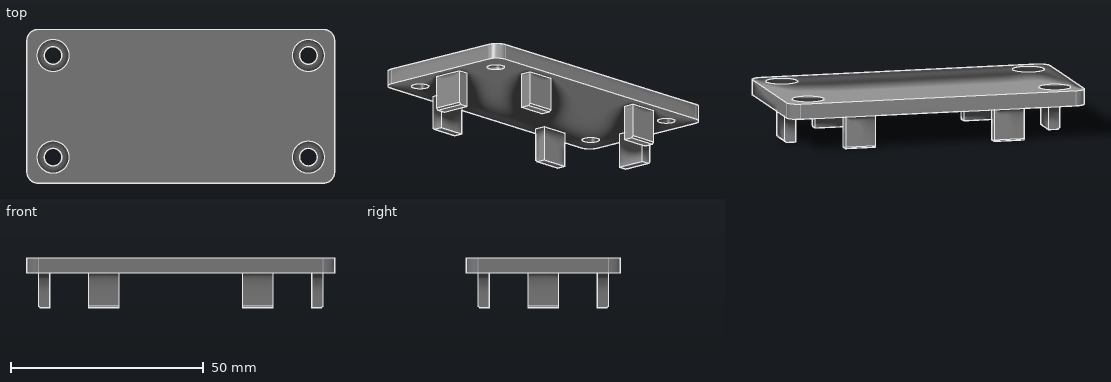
import cadquery as cq

plate_length = 80.0
plate_width = 40.0
plate_thickness = 4.0
corner_radius = 3.0

hole_spacing_x = 66.3
hole_spacing_y = 26.4
hole_diameter = 4.5
counterbore_diameter = 8.3
counterbore_depth = 2.0

tab_width = 8.0
tab_thickness = 3.0
tab_height = 9.0
tab_edge_inset = 3.0
tab_chamfer = 0.5
side_tab_spacing = 40.0


def make_plate():
    plate = cq.Workplane("XY").box(
        plate_length, plate_width, plate_thickness, centered=(True, True, False)
    )
    return plate.edges("|Z").fillet(corner_radius)


def cut_screw_holes(plate):
    return (
        plate.faces(">Z")
        .workplane()
        .rarray(hole_spacing_x, hole_spacing_y, 2, 2)
        .cboreHole(hole_diameter, counterbore_diameter, counterbore_depth)
    )


def make_tab(outer_distance, along_edge, angle):
    """Tab facing +X at outer_distance, shifted along its edge, then turned about Z."""
    tab = (
        cq.Workplane("XY")
        .box(tab_thickness, tab_width, tab_height)
        .edges(">X and <Z")
        .chamfer(tab_chamfer)
    )
    tab = tab.translate((outer_distance - tab_thickness / 2, along_edge, -tab_height / 2))
    return tab.rotate((0, 0, 0), (0, 0, 1), angle)


result = cut_screw_holes(make_plate())

for end_angle in (0, 180):
    result = result.union(make_tab(plate_length / 2 - tab_edge_inset, 0, end_angle))

for side_angle in (90, 270):
    for along_side in (-side_tab_spacing / 2, side_tab_spacing / 2):
        result = result.union(make_tab(plate_width / 2 - tab_edge_inset, along_side, side_angle))